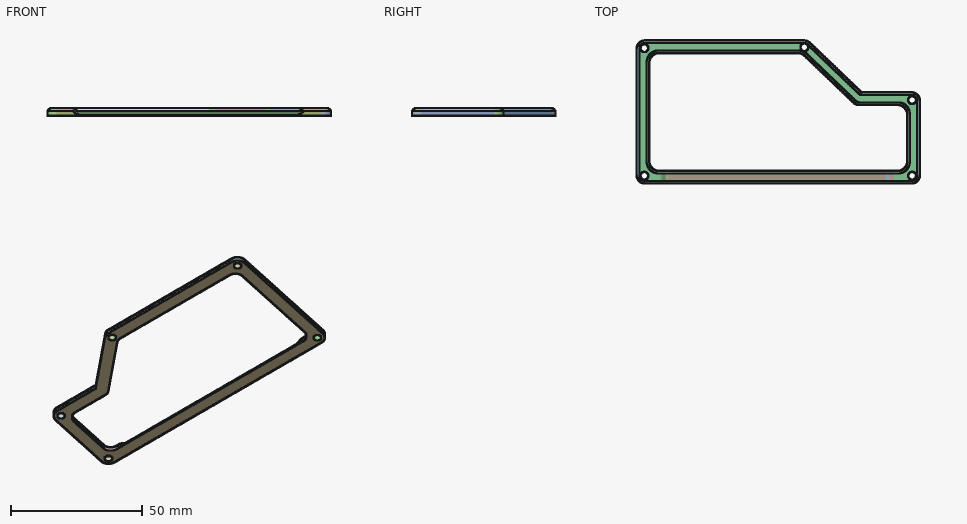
import cadquery as cq
import math

length = 108.2
depth = 54.7
height = 3.0
wall = 5.0
corner_radius = 3.5
edge_chamfer = 1.1

shoulder_y = 34.9
shoulder_x = 85.8
back_corner_x = 65.1
diagonal_angle = math.atan2(depth - shoulder_y, shoulder_x - back_corner_x)

hole_diameter = 2.9
hole_inset = 3.0
diagonal_hole_x = 64.0
diagonal_hole_inset = 2.7

notch_depth = 1.4
ramp_angle = math.radians(45)
ramp_radius = 2.1
left_margin = 9.3
right_margin = 10.0

diagonal_shift = wall * math.tan(diagonal_angle / 2)


def outer_body():
    """Solid plate with the outer outline; only the shoulder's inside corner stays sharp."""
    outline = [
        (0, 0),
        (length, 0),
        (length, shoulder_y),
        (shoulder_x, shoulder_y),
        (back_corner_x, depth),
        (0, depth),
    ]
    body = cq.Workplane("XY").polyline(outline).close().extrude(height)
    sharp_corner = cq.selectors.BoxSelector(
        (shoulder_x - corner_radius, shoulder_y - corner_radius, 0),
        (shoulder_x + corner_radius, shoulder_y + corner_radius, height),
    )
    upright = cq.selectors.ParallelDirSelector(cq.Vector(0, 0, 1))
    rounded = cq.selectors.SubtractSelector(upright, sharp_corner)
    return body.edges(rounded).fillet(corner_radius)


def window():
    """Opening inside the frame, one wall in from the outer outline."""
    outline = [
        (wall, wall),
        (length - wall, wall),
        (length - wall, shoulder_y - wall),
        (shoulder_x - diagonal_shift, shoulder_y - wall),
        (back_corner_x - diagonal_shift, depth - wall),
        (wall, depth - wall),
    ]
    return cq.Workplane("XY").polyline(outline).close().extrude(height).edges("|Z").fillet(corner_radius)


def front_notch():
    """Cutter that lowers the front bar between two smooth S-shaped ramps."""
    arc_run = ramp_radius * math.sin(ramp_angle)
    arc_drop = ramp_radius * (1 - math.cos(ramp_angle))
    arc_mid_run = ramp_radius * math.sin(ramp_angle / 2)
    arc_mid_drop = ramp_radius * (1 - math.cos(ramp_angle / 2))
    straight_run = (notch_depth - 2 * arc_drop) / math.tan(ramp_angle)
    ramp_run = 2 * arc_run + straight_run
    floor = height - notch_depth
    left = left_margin
    left_floor = left + ramp_run
    right = length - right_margin
    right_floor = right - ramp_run
    top_mid = height - arc_mid_drop
    top_end = height - arc_drop
    floor_mid = floor + arc_mid_drop
    floor_end = floor + arc_drop
    return (
        cq.Workplane("XZ")
        .moveTo(left, height)
        .threePointArc((left + arc_mid_run, top_mid), (left + arc_run, top_end))
        .lineTo(left_floor - arc_run, floor_end)
        .threePointArc((left_floor - arc_mid_run, floor_mid), (left_floor, floor))
        .lineTo(right_floor, floor)
        .threePointArc((right_floor + arc_mid_run, floor_mid), (right_floor + arc_run, floor_end))
        .lineTo(right - arc_run, top_end)
        .threePointArc((right - arc_mid_run, top_mid), (right, height))
        .close()
        .extrude(-wall)
    )


def screw_holes():
    """Through holes at the four outer corners and at the top of the diagonal."""
    centers = [
        (hole_inset, hole_inset),
        (length - hole_inset, hole_inset),
        (length - hole_inset, shoulder_y - hole_inset),
        (diagonal_hole_x, depth - diagonal_hole_inset),
        (hole_inset, depth - hole_inset),
    ]
    return cq.Workplane("XY").pushPoints(centers).circle(hole_diameter / 2).extrude(height)


frame = outer_body().cut(window()).cut(front_notch())
frame = frame.faces(">Z").edges("not |Y").chamfer(edge_chamfer)
result = frame.cut(screw_holes())